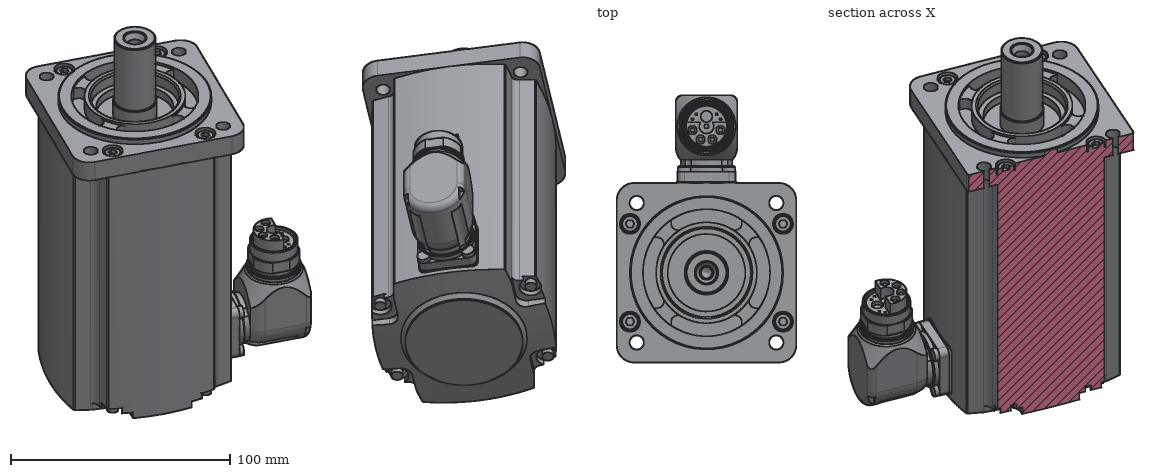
import cadquery as cq
import math


FLANGE_SIZE = 82.0
FLANGE_THICKNESS = 10.0
FLANGE_CORNER_RADIUS = 8.0
PILOT_DIAMETER = 70.0
PILOT_HEIGHT = 3.0
EDGE_CHAMFER = 0.5
BOLT_CIRCLE_DIAMETER = 90.0
MOUNTING_HOLE_DIAMETER = 6.4
SCREW_X = 34.9
SCREW_Y = 22.3
SCREW_POCKET_DIAMETER = 9.2
SCREW_POCKET_DEPTH = 4.0
SCREW_HEAD_DIAMETER = 8.0
SCREW_HEAD_HEIGHT = 3.2
SCREW_SOCKET_SIDES = 6
SCREW_SOCKET_DIAMETER = 4.0
SCREW_SOCKET_DEPTH = 2.0

RING_OUTER_RADIUS = 29.0
RING_INNER_RADIUS = 23.0
RING_DEPTH = 1.2
SLOT_DEPTH = 7.0
SLOT_HALF_WIDTH = 16.1
SLOT_CORNER_RADIUS = 3.0
BORE_RADIUS = 20.2
BORE_CHAMFER = 0.8
BORE_DEPTH = 6.2
SEAL_RADIUS = 17.7
SEAL_DEPTH = 10.2

SHAFT_DIAMETER = 19.0
SHAFT_LENGTH = 35.0
SHOULDER_DIAMETER = 20.0
SHOULDER_TOP_Z = 1.2
CENTRE_MOUTH_DIAMETER = 10.8
CENTRE_CONE_DIAMETER = 9.6
CENTRE_BORE_DIAMETER = 6.4
CENTRE_BORE_DEPTH = 6.0
THREAD_DRILL_DIAMETER = 5.1
THREAD_DRILL_DEPTH = 21.0
CENTRE_MOUTH_HALF_ANGLE = math.radians(60)
CENTRE_CONE_HALF_ANGLE = math.radians(30)
DRILL_TIP_HALF_ANGLE = math.radians(59)
CENTRE_MOUTH_DEPTH = (CENTRE_MOUTH_DIAMETER - CENTRE_CONE_DIAMETER) / 2 / math.tan(CENTRE_MOUTH_HALF_ANGLE)
CENTRE_CONE_DEPTH = (CENTRE_CONE_DIAMETER - CENTRE_BORE_DIAMETER) / 2 / math.tan(CENTRE_CONE_HALF_ANGLE)
DRILL_TIP_DEPTH = THREAD_DRILL_DIAMETER / 2 / math.tan(DRILL_TIP_HALF_ANGLE)

HOUSING_APEX = FLANGE_SIZE / 2
LOBE_HALF_WIDTH = 25.3
LOBE_EDGE = 38.0
LOBE_CHAMFER = 0.6
NOTCH_FACE = 27.2
NOTCH_FILLET = 3.2
END_Z = -150.2
END_CONE_EDGE_Z = -146.1
END_CONE_CENTRE_Z = -147.3
END_CAP_RADIUS = 28.8
END_CAP_BOTTOM_RADIUS = 26.8
END_CAP_RIM_HEIGHT = 1.0

POCKET_TOP_Z = -142.7
POCKET_INNER_X = 27.3
POCKET_INNER_Y = 14.1
POCKET_FILLET = 4.9
SCREW_RECESS_DIAMETER = 10.6
SCREW_RECESS_HEIGHT = 2.9
SCREW_SHANK_DIAMETER = 5.3

CONNECTOR_Y = 66.8
CONNECTOR_Z = -130.1
HEAD_HALF_WIDTH = 14.1
HEAD_OUTER_Y = 81.0
HEAD_INNER_Y = 51.6
HEAD_TOP_Z = -106.4
HEAD_OUTER_RADIUS = 3.2
HEAD_INNER_RADIUS = 10.0
HEAD_INNER_ROUND_LENGTH = 6.2
CONE_TOP_RADIUS = 13.3
CONE_BOTTOM_RADIUS = 22.0
CONE_SLOPE = 1.85
LATCH_TOP_Z = -132.9
LATCH_HEIGHT = 5.4
LATCH_DEPTH = 2.4

BASE_SIZE = 26.6
BASE_CORNER_RADIUS = 3.1
BASE_OUTER_Y = 46.0
BASE_INNER_Y = 38.0
GASKET_SIZE = 27.2
GASKET_OUTER_Y = 41.4
BASE_SCREW_OFFSET = 10.2
BASE_SCREW_HEAD_DIAMETER = 6.0
BASE_SCREW_HEAD_HEIGHT = 2.2
NECK_DIAMETER = 23.6
COLLAR_DIAMETER = 26.0
COLLAR_OUTER_Y = 48.7
DRIVER_GROOVE_DIAMETER = 6.8
DRIVER_GROOVE_END_Y = 74.3

SOCKET_TOP_Z = -90.3
NUT_TOP_Z = -95.6
NUT_BOTTOM_Z = -101.4
LIP_GROOVE_TOP_Z = -103.5
LIP_TOP_Z = -104.0
LIP_BOTTOM_Z = -105.6
SOCKET_DIAMETER = 21.95
NUT_DIAMETER = 23.6
NUT_FLAT_WIDTH = 8.2
LIP_DIAMETER = 25.0
LIP_GROOVE_DIAMETER = 23.4
SOCKET_BORE_DIAMETER = 20.0
SOCKET_BORE_DEPTH = 5.0
INSERT_DIAMETER = 18.6
INSERT_HEIGHT = 4.0
RAISED_TOP_Z = -85.0
RAISED_EDGE_Y = 1.8
RAISED_RECESS_DIAMETER = 6.6
PIN_CIRCLE_RADIUS = 6.6
PIN_ANGLES = (195, 246, 294, 345)
PIN_HOLE_DIAMETER = 4.0
PIN_DIAMETER = 1.99
PIN_HOLE_DEPTH = 3.0
PIN_RECESS = 1.0
SIGNAL_CIRCLE_RADIUS = 7.2
SIGNAL_ANGLES = (27, 50, 130, 153)
SIGNAL_HOLE_DIAMETER = 0.99
SIGNAL_HOLE_DEPTH = 2.0
KEY_HOLE_Y = 4.5
KEY_HOLE_DIAMETER = 5.2


def cylinder(diameter, bottom_z, top_z, x=0.0, y=0.0):
    """Vertical cylinder between two heights."""
    base = cq.Workplane("XY", origin=(x, y, bottom_z))
    return base.circle(diameter / 2).extrude(top_z - bottom_z)


def cylinder_along_y(diameter, start_y, end_y, x, z):
    """Cylinder parallel to Y between two Y positions."""
    base = cq.Workplane("XZ", origin=(x, start_y, z))
    return base.circle(diameter / 2).extrude(start_y - end_y)


def block(x_range, y_range, z_range):
    """Axis-aligned box given by its limits."""
    size = [limits[1] - limits[0] for limits in (x_range, y_range, z_range)]
    corner = (x_range[0], y_range[0], z_range[0])
    return cq.Workplane("XY").box(*size, centered=False).translate(corner)


def polar(radius, angle):
    """XY position at a radius and an angle in degrees."""
    return (radius * math.cos(math.radians(angle)), radius * math.sin(math.radians(angle)))


def turned(x, y, angle):
    """XY point turned about the Z axis by an angle in degrees."""
    cosine = math.cos(math.radians(angle))
    sine = math.sin(math.radians(angle))
    return (x * cosine - y * sine, x * sine + y * cosine)


def in_four_quadrants(shape):
    """Copies of a shape mirrored into all four XY quadrants."""
    pair = shape.union(shape.mirror("YZ"))
    return pair.union(pair.mirror("XZ"))


def make_flange():
    flange = (
        cq.Workplane("XY", origin=(0, 0, -FLANGE_THICKNESS))
        .rect(FLANGE_SIZE, FLANGE_SIZE)
        .extrude(FLANGE_THICKNESS)
        .edges("|Z")
        .fillet(FLANGE_CORNER_RADIUS)
    )
    pilot = cylinder(PILOT_DIAMETER, -FLANGE_THICKNESS, PILOT_HEIGHT).faces(">Z").chamfer(EDGE_CHAMFER)
    return flange.union(pilot)


def make_housing():
    """Four shallow cylindrical lobes with an L-shaped notch along each corner."""
    chamfer_x = LOBE_HALF_WIDTH + LOBE_CHAMFER
    chamfer_y = LOBE_EDGE - LOBE_CHAMFER
    notch_start = NOTCH_FACE + NOTCH_FILLET
    fillet_middle = notch_start - NOTCH_FILLET * math.cos(math.radians(45))
    outline = cq.Workplane("XY", origin=(0, 0, END_CONE_CENTRE_Z)).moveTo(-LOBE_HALF_WIDTH, LOBE_EDGE)
    for quarter in range(4):
        corner = [
            turned(x, y, -90 * quarter)
            for x, y in (
                (0, HOUSING_APEX),
                (LOBE_HALF_WIDTH, LOBE_EDGE),
                (chamfer_x, chamfer_y),
                (NOTCH_FACE, notch_start),
                (fillet_middle, fillet_middle),
                (notch_start, NOTCH_FACE),
                (chamfer_y, chamfer_x),
                (LOBE_EDGE, LOBE_HALF_WIDTH),
            )
        ]
        apex, lobe_end, chamfer_end, fillet_start, fillet_mid, fillet_end, next_chamfer, next_lobe = corner
        outline = (
            outline.threePointArc(apex, lobe_end)
            .lineTo(*chamfer_end)
            .lineTo(*fillet_start)
            .threePointArc(fillet_mid, fillet_end)
            .lineTo(*next_chamfer)
            .lineTo(*next_lobe)
        )
    return outline.close().extrude(-FLANGE_THICKNESS - END_CONE_CENTRE_Z)


def make_end_envelope():
    """Turned blank whose underside is a shallow cone."""
    radius = FLANGE_SIZE
    slope = (END_CONE_EDGE_Z - END_CONE_CENTRE_Z) / (HOUSING_APEX - END_CAP_RADIUS)
    edge_z = END_CONE_CENTRE_Z + slope * (radius - END_CAP_RADIUS)
    return (
        cq.Workplane("XZ")
        .moveTo(0, END_CONE_CENTRE_Z)
        .lineTo(END_CAP_RADIUS, END_CONE_CENTRE_Z)
        .lineTo(radius, edge_z)
        .lineTo(radius, 0)
        .lineTo(0, 0)
        .close()
        .revolve(360, (0, 0), (0, 1))
    )


def make_end_cap():
    rim_top_z = END_Z + END_CAP_RIM_HEIGHT
    return (
        cq.Workplane("XZ")
        .moveTo(0, END_Z)
        .lineTo(END_CAP_BOTTOM_RADIUS, END_Z)
        .lineTo(END_CAP_BOTTOM_RADIUS, rim_top_z)
        .lineTo(END_CAP_RADIUS, END_CONE_CENTRE_Z)
        .lineTo(0, END_CONE_CENTRE_Z)
        .close()
        .revolve(360, (0, 0), (0, 1))
    )


def make_body():
    """Housing with its lower corners cut away round the ends of the flange screws."""
    pocket = block((POCKET_INNER_X, FLANGE_SIZE), (POCKET_INNER_Y, FLANGE_SIZE), (END_Z, POCKET_TOP_Z))
    pocket = pocket.edges("|Z and <X and <Y").fillet(POCKET_FILLET)
    recess_top_z = POCKET_TOP_Z + SCREW_RECESS_HEIGHT
    recess = cylinder(SCREW_RECESS_DIAMETER, POCKET_TOP_Z, recess_top_z, SCREW_X, SCREW_Y)
    shank = cylinder(SCREW_SHANK_DIAMETER, POCKET_TOP_Z, recess_top_z, SCREW_X, SCREW_Y)
    body = make_housing().cut(in_four_quadrants(pocket.union(recess))).union(in_four_quadrants(shank))
    return body.intersect(make_end_envelope()).union(make_end_cap())


def cut_pilot_recesses(motor):
    top = PILOT_HEIGHT
    ring = cylinder(2 * RING_OUTER_RADIUS, top - SLOT_DEPTH, top)
    ring = ring.cut(cylinder(2 * RING_INNER_RADIUS, top - SLOT_DEPTH, top))
    motor = motor.cut(ring.intersect(cylinder(2 * RING_OUTER_RADIUS, top - RING_DEPTH, top)))

    slot_limits = (-SLOT_HALF_WIDTH, SLOT_HALF_WIDTH)
    slot = ring.intersect(block(slot_limits, (0, PILOT_DIAMETER), (top - SLOT_DEPTH, top)))
    slot = slot.edges("|Z and <Y").fillet(SLOT_CORNER_RADIUS)
    for quarter in range(4):
        motor = motor.cut(slot.rotate((0, 0, 0), (0, 0, 1), 90 * quarter))

    bore = (
        cq.Workplane("XZ")
        .moveTo(0, top)
        .lineTo(BORE_RADIUS + BORE_CHAMFER, top)
        .lineTo(BORE_RADIUS, top - BORE_CHAMFER)
        .lineTo(BORE_RADIUS, top - BORE_DEPTH)
        .lineTo(SEAL_RADIUS, top - BORE_DEPTH)
        .lineTo(SEAL_RADIUS, top - SEAL_DEPTH)
        .lineTo(0, top - SEAL_DEPTH)
        .close()
        .revolve(360, (0, 0), (0, 1))
    )
    return motor.cut(bore)


def make_shaft():
    shoulder = cylinder(SHOULDER_DIAMETER, -FLANGE_THICKNESS, SHOULDER_TOP_Z)
    shoulder = shoulder.faces(">Z").chamfer((SHOULDER_DIAMETER - SHAFT_DIAMETER) / 2)
    shaft = cylinder(SHAFT_DIAMETER, 0, SHAFT_LENGTH).faces(">Z").chamfer(EDGE_CHAMFER)
    centre_hole = (
        cq.Workplane("XZ")
        .moveTo(0, SHAFT_LENGTH)
        .lineTo(CENTRE_MOUTH_DIAMETER / 2, SHAFT_LENGTH)
        .lineTo(CENTRE_CONE_DIAMETER / 2, SHAFT_LENGTH - CENTRE_MOUTH_DEPTH)
        .lineTo(CENTRE_BORE_DIAMETER / 2, SHAFT_LENGTH - CENTRE_MOUTH_DEPTH - CENTRE_CONE_DEPTH)
        .lineTo(CENTRE_BORE_DIAMETER / 2, SHAFT_LENGTH - CENTRE_BORE_DEPTH)
        .lineTo(THREAD_DRILL_DIAMETER / 2, SHAFT_LENGTH - CENTRE_BORE_DEPTH)
        .lineTo(THREAD_DRILL_DIAMETER / 2, SHAFT_LENGTH - THREAD_DRILL_DEPTH)
        .lineTo(0, SHAFT_LENGTH - THREAD_DRILL_DEPTH - DRILL_TIP_DEPTH)
        .close()
        .revolve(360, (0, 0), (0, 1))
    )
    return shoulder.union(shaft).cut(centre_hole)


def add_flange_holes_and_screws(motor):
    hole_offset = BOLT_CIRCLE_DIAMETER / 2 * math.cos(math.radians(45))
    hole = cylinder(MOUNTING_HOLE_DIAMETER, -FLANGE_THICKNESS, 0, hole_offset, hole_offset)
    pocket = cylinder(SCREW_POCKET_DIAMETER, -SCREW_POCKET_DEPTH, 0, SCREW_X, SCREW_Y)
    head_top_z = SCREW_HEAD_HEIGHT - SCREW_POCKET_DEPTH
    head = cylinder(SCREW_HEAD_DIAMETER, -SCREW_POCKET_DEPTH, head_top_z, SCREW_X, SCREW_Y)
    head = head.faces(">Z").chamfer(EDGE_CHAMFER)
    hexagon = (
        cq.Workplane("XY", origin=(SCREW_X, SCREW_Y, head_top_z))
        .polygon(SCREW_SOCKET_SIDES, SCREW_SOCKET_DIAMETER)
        .extrude(-SCREW_SOCKET_DEPTH)
    )
    cuts = in_four_quadrants(hole.union(pocket))
    return motor.cut(cuts).union(in_four_quadrants(head.cut(hexagon)))


def make_connector_head():
    """Angled head: one rounded half outline turned about the U axis and extruded upward, conical on top."""
    round_drop = HEAD_INNER_RADIUS - math.sqrt(HEAD_INNER_RADIUS**2 - HEAD_INNER_ROUND_LENGTH**2)
    half_angle = math.asin(HEAD_INNER_ROUND_LENGTH / HEAD_INNER_RADIUS) / 2
    middle_along = HEAD_INNER_Y + HEAD_INNER_ROUND_LENGTH - HEAD_INNER_RADIUS * math.sin(half_angle)
    middle_drop = HEAD_INNER_RADIUS * (1 - math.cos(half_angle))
    corner_offset = HEAD_OUTER_RADIUS * (1 - math.cos(math.radians(45)))

    def half_outline():
        return (
            cq.Workplane("XY", origin=(0, 0, CONNECTOR_Z))
            .moveTo(0, HEAD_INNER_Y)
            .lineTo(HEAD_HALF_WIDTH - round_drop, HEAD_INNER_Y)
            .threePointArc(
                (HEAD_HALF_WIDTH - middle_drop, middle_along),
                (HEAD_HALF_WIDTH, HEAD_INNER_Y + HEAD_INNER_ROUND_LENGTH),
            )
            .lineTo(HEAD_HALF_WIDTH, HEAD_OUTER_Y - HEAD_OUTER_RADIUS)
            .threePointArc(
                (HEAD_HALF_WIDTH - corner_offset, HEAD_OUTER_Y - corner_offset),
                (HEAD_HALF_WIDTH - HEAD_OUTER_RADIUS, HEAD_OUTER_Y),
            )
            .lineTo(0, HEAD_OUTER_Y)
            .close()
        )

    upper = half_outline().extrude(HEAD_TOP_Z - CONNECTOR_Z)
    upper = upper.union(upper.mirror("YZ"))
    lower = half_outline().revolve(360, (0, 0), (0, 1))
    head = lower.union(upper)

    cone_height = (CONE_BOTTOM_RADIUS - CONE_TOP_RADIUS) * CONE_SLOPE
    envelope = (
        cq.Workplane("XZ", origin=(0, CONNECTOR_Y, 0))
        .moveTo(0, HEAD_TOP_Z)
        .lineTo(CONE_TOP_RADIUS, HEAD_TOP_Z)
        .lineTo(CONE_BOTTOM_RADIUS, HEAD_TOP_Z - cone_height)
        .lineTo(CONE_BOTTOM_RADIUS, END_Z)
        .lineTo(0, END_Z)
        .close()
        .revolve(360, (0, 0), (0, 1))
    )
    return head.intersect(envelope)


def make_connector_base():
    def plate(size, outer_y):
        base = cq.Workplane("XZ", origin=(0, BASE_INNER_Y, CONNECTOR_Z)).rect(size, size)
        return base.extrude(BASE_INNER_Y - outer_y).edges("|Y").fillet(BASE_CORNER_RADIUS)

    base = plate(BASE_SIZE, BASE_OUTER_Y).union(plate(GASKET_SIZE, GASKET_OUTER_Y))
    collar = cylinder_along_y(COLLAR_DIAMETER, BASE_INNER_Y, COLLAR_OUTER_Y, 0, CONNECTOR_Z)
    return base.union(collar.faces(">Y").chamfer(EDGE_CHAMFER))


def make_socket():
    """Round plug socket with nut, lip and pin insert, axis vertical."""

    def ring(diameter, bottom_z, top_z):
        return cylinder(diameter, bottom_z, top_z, 0, CONNECTOR_Y)

    flat_distance = math.sqrt(NUT_DIAMETER**2 - NUT_FLAT_WIDTH**2)
    nut = ring(NUT_DIAMETER, NUT_BOTTOM_Z, NUT_TOP_Z)
    flats = (
        cq.Workplane("XY", origin=(0, CONNECTOR_Y, NUT_BOTTOM_Z))
        .rect(flat_distance, flat_distance)
        .extrude(NUT_TOP_Z - NUT_BOTTOM_Z)
    )
    socket = ring(SOCKET_DIAMETER, HEAD_TOP_Z, SOCKET_TOP_Z).faces(">Z").chamfer(EDGE_CHAMFER / 2)
    socket = socket.cut(ring(SOCKET_BORE_DIAMETER, SOCKET_TOP_Z - SOCKET_BORE_DEPTH, SOCKET_TOP_Z))
    socket = socket.union(nut.intersect(flats).cut(ring(SOCKET_BORE_DIAMETER, NUT_BOTTOM_Z, NUT_TOP_Z)))
    socket = socket.union(ring(LIP_GROOVE_DIAMETER, HEAD_TOP_Z, LIP_GROOVE_TOP_Z))
    socket = socket.union(ring(LIP_DIAMETER, LIP_BOTTOM_Z, LIP_TOP_Z))
    return socket.union(make_insert())


def make_insert():
    """Pin carrier: a disc whose motor-side half, holding four pins, stands above the socket rim."""
    bottom_z = SOCKET_TOP_Z - SOCKET_BORE_DEPTH
    face_z = bottom_z + INSERT_HEIGHT
    disc = cylinder(INSERT_DIAMETER, bottom_z, RAISED_TOP_Z)
    insert = cylinder(INSERT_DIAMETER, bottom_z, face_z)
    pins = [polar(PIN_CIRCLE_RADIUS, angle) for angle in PIN_ANGLES]
    radius = INSERT_DIAMETER / 2
    raised = disc.intersect(block((-radius, radius), (-radius, RAISED_EDGE_Y), (bottom_z, RAISED_TOP_Z)))
    insert = insert.union(raised.cut(cylinder(RAISED_RECESS_DIAMETER, face_z, RAISED_TOP_Z)))
    for x, y in pins:
        insert = insert.cut(cylinder(PIN_HOLE_DIAMETER, RAISED_TOP_Z - PIN_HOLE_DEPTH, RAISED_TOP_Z, x, y))
        insert = insert.union(cylinder(PIN_DIAMETER, bottom_z, RAISED_TOP_Z - PIN_RECESS, x, y))
    for angle in SIGNAL_ANGLES:
        x, y = polar(SIGNAL_CIRCLE_RADIUS, angle)
        insert = insert.cut(cylinder(SIGNAL_HOLE_DIAMETER, face_z - SIGNAL_HOLE_DEPTH, face_z, x, y))
    insert = insert.cut(cylinder(KEY_HOLE_DIAMETER, face_z - SIGNAL_HOLE_DEPTH, face_z, 0, KEY_HOLE_Y))
    insert = insert.cut(cylinder(PIN_DIAMETER, face_z - SIGNAL_HOLE_DEPTH, face_z))
    return insert.translate((0, CONNECTOR_Y, 0))


def make_connector():
    """Head, neck and base plate, with driver grooves that clear the base screws."""
    neck = cylinder_along_y(NECK_DIAMETER, BASE_OUTER_Y, HEAD_INNER_Y + HEAD_OUTER_RADIUS, 0, CONNECTOR_Z)
    head = make_connector_head().union(neck)
    latch_limits = (LATCH_TOP_Z - LATCH_HEIGHT, LATCH_TOP_Z)
    latch_y = (HEAD_OUTER_Y - HEAD_OUTER_RADIUS, HEAD_OUTER_Y)
    for side in (-1, 1):
        latch_x = sorted((side * HEAD_HALF_WIDTH, side * (HEAD_HALF_WIDTH - LATCH_DEPTH)))
        head = head.cut(block(latch_x, latch_y, latch_limits))
    base = make_connector_base()
    screw_end_y = BASE_OUTER_Y + BASE_SCREW_HEAD_HEIGHT
    for x_side in (-1, 1):
        for z_side in (-1, 1):
            x = x_side * BASE_SCREW_OFFSET
            z = CONNECTOR_Z + z_side * BASE_SCREW_OFFSET
            groove_end_y = DRIVER_GROOVE_END_Y if z_side < 0 else HEAD_INNER_Y
            head = head.cut(cylinder_along_y(DRIVER_GROOVE_DIAMETER, BASE_OUTER_Y, groove_end_y, x, z))
            base = base.union(cylinder_along_y(BASE_SCREW_HEAD_DIAMETER, BASE_INNER_Y, screw_end_y, x, z))
    return base.union(head).union(make_socket())


motor = make_body().union(make_flange())
motor = cut_pilot_recesses(motor)
motor = motor.union(make_shaft())
motor = add_flange_holes_and_screws(motor)
result = motor.union(make_connector())